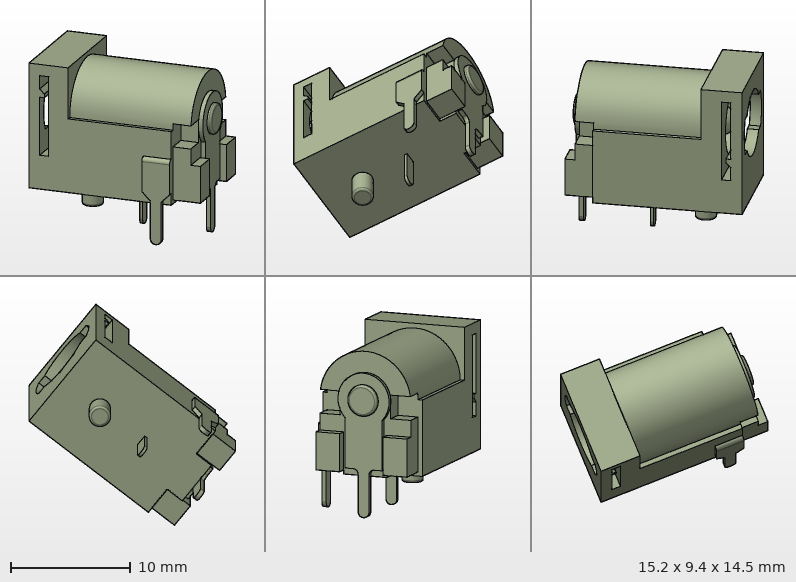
import cadquery as cq


width = 9.0
head_length = 3.51
head_height = 11.0
housing_length = 12.74
axis_height = 6.5
barrel_radius = 4.1

plug_end = 14.33
plug_bottom = 0.35
guide_end = 15.2
guide_top = 3.6
guide_gap = 3.92
notch_bottom = 5.03
notch_top = 7.05
notch_floor = 2.28

bore_radius = 2.85
bore_depth = 11.7
wing_radius = 3.55
wing_half_height = 1.6
front_wall = 0.97
slot_end = 1.75
slot_half_height = 3.51
latch_reach = 0.41
latch_height = 0.75
latch_tip_height = 0.33

contact_radius = 1.25
contact_tip = 1.46
boss_radius = 1.76
boss_height = 0.4

sheet = 0.4
pin_width = 0.99
pin_length = 3.5
middle_pin_start = 8.38
middle_pin_sheet = 0.27
rear_disc_radius = 2.31
rear_tab_width = 3.35
rear_shoulder_height = 0.62
rear_shoulder_fillet = 0.45
rivet_radius = 1.34
rivet_end = 15.1
side_tab_width = 2.48
side_tab_top = 4.06
side_tab_bottom = 1.05
side_tab_bend = 0.36

peg_center = 4.0
peg_radius = 0.9
peg_length = 2.34
rounded_edge = 0.2


def block(x0, x1, y0, y1, z0, z1):
    """Box given by its limits along each axis."""
    return cq.Workplane("XY").box(x1 - x0, y1 - y0, z1 - z0, centered=False).translate((x0, y0, z0))


def middle_block(x0, x1, full_width, z0, z1):
    """Box centred on the middle plane."""
    return block(x0, x1, -full_width / 2, full_width / 2, z0, z1)


def axial_cylinder(radius, x0, x1):
    """Cylinder on the socket axis."""
    return cq.Workplane("YZ", origin=(x0, 0, axis_height)).circle(radius).extrude(x1 - x0)


def pin(top, thickness):
    """Terminal pin in the YZ plane with a fully rounded lower end, from X = 0 to thickness."""
    half = pin_width / 2
    return (
        cq.Workplane("YZ")
        .moveTo(-half, top)
        .lineTo(-half, half - pin_length)
        .threePointArc((0, -pin_length), (half, half - pin_length))
        .lineTo(half, top)
        .close()
        .extrude(thickness)
    )


def make_housing():
    head = middle_block(0, head_length, width, 0, head_height)
    base = middle_block(0, housing_length, width, 0, axis_height)
    barrel = axial_cylinder(barrel_radius, 0, housing_length)
    return head.union(base).union(barrel)


def make_rear_plug():
    lower = middle_block(housing_length, plug_end, 2 * barrel_radius, plug_bottom, axis_height)
    web = middle_block(housing_length, plug_end, guide_gap, 0, axis_height)
    plug = axial_cylinder(barrel_radius, housing_length, plug_end).union(lower).union(web)
    for y0, y1 in ((-barrel_radius, -guide_gap / 2), (guide_gap / 2, barrel_radius)):
        plug = plug.union(block(housing_length, guide_end, y0, y1, plug_bottom, guide_top))
    for y0, y1 in ((-barrel_radius, -notch_floor), (notch_floor, barrel_radius)):
        plug = plug.cut(block(housing_length, plug_end, y0, y1, notch_bottom, notch_top))
    return plug


def make_latch():
    """Ramped catch behind the front wall, below the +Y wing and flush with the side."""
    top = axis_height - wing_half_height
    tip = front_wall + latch_reach
    return (
        cq.Workplane("XZ")
        .polyline([
            (front_wall, top),
            (tip, top),
            (tip, top - latch_tip_height),
            (front_wall, top - latch_height),
        ])
        .close()
        .extrude(-width / 2)
    )


def cut_socket(body):
    wings = axial_cylinder(wing_radius, 0, slot_end).intersect(
        middle_block(
            0, slot_end, 2 * wing_radius,
            axis_height - wing_half_height, axis_height + wing_half_height,
        )
    )
    slot = middle_block(
        front_wall, slot_end, width,
        axis_height - slot_half_height, axis_height + slot_half_height,
    )
    latch = make_latch()
    opposite_latch = latch.rotate((0, 0, axis_height), (1, 0, axis_height), 180)
    return (
        body.cut(slot)
        .union(latch)
        .union(opposite_latch)
        .cut(wings)
        .cut(axial_cylinder(bore_radius, 0, bore_depth))
    )


def make_center_contact():
    dome_center = contact_tip + contact_radius
    dome = cq.Workplane("XY").sphere(contact_radius).translate((dome_center, 0, axis_height))
    shaft = axial_cylinder(contact_radius, dome_center, plug_end)
    boss = axial_cylinder(boss_radius, bore_depth - boss_height, plug_end)
    return shaft.union(dome).union(boss)


def make_rear_terminal():
    tab = middle_block(0, sheet, rear_tab_width, rear_shoulder_height, axis_height)
    shoulder_corners = cq.selectors.BoxSelector(
        (0, -pin_width, 0),
        (sheet, pin_width, 2 * rear_shoulder_height),
    )
    blade = (
        tab.union(pin(axis_height, sheet))
        .edges("|X")
        .edges(shoulder_corners)
        .fillet(rear_shoulder_fillet)
        .translate((plug_end, 0, 0))
    )
    disc = axial_cylinder(rear_disc_radius, plug_end, plug_end + sheet)
    rivet = axial_cylinder(rivet_radius, plug_end, rivet_end)
    rivet = rivet.faces(">X").edges().fillet(rounded_edge)
    return blade.union(disc).union(rivet)


def make_side_terminal():
    """Terminal on the -Y side: a tab that tapers at 45 degrees into a pin."""
    half_tab = side_tab_width / 2
    half_pin = pin_width / 2
    taper_bottom = side_tab_bottom - (half_tab - half_pin)
    tab = (
        cq.Workplane("XZ")
        .polyline([
            (-half_tab, side_tab_top),
            (-half_tab, side_tab_bottom),
            (-half_pin, taper_bottom),
            (half_pin, taper_bottom),
            (half_tab, side_tab_bottom),
            (half_tab, side_tab_top),
        ])
        .close()
        .extrude(sheet)
        .edges("<Y and >Z")
        .fillet(side_tab_bend)
    )
    side_pin = pin(side_tab_bottom, sheet).rotate((0, 0, 0), (0, 0, 1), -90)
    return tab.union(side_pin).translate((housing_length - half_tab, -width / 2, 0))


def make_peg():
    return (
        cq.Workplane("XY", origin=(peg_center, 0, 0))
        .circle(peg_radius)
        .extrude(-peg_length)
        .faces("<Z")
        .edges()
        .fillet(rounded_edge)
    )


middle_pin = pin(0, middle_pin_sheet).translate((middle_pin_start, 0, 0))

result = (
    cut_socket(make_housing())
    .union(make_rear_plug())
    .union(make_center_contact())
    .union(make_rear_terminal())
    .union(make_side_terminal())
    .union(middle_pin)
    .union(make_peg())
)